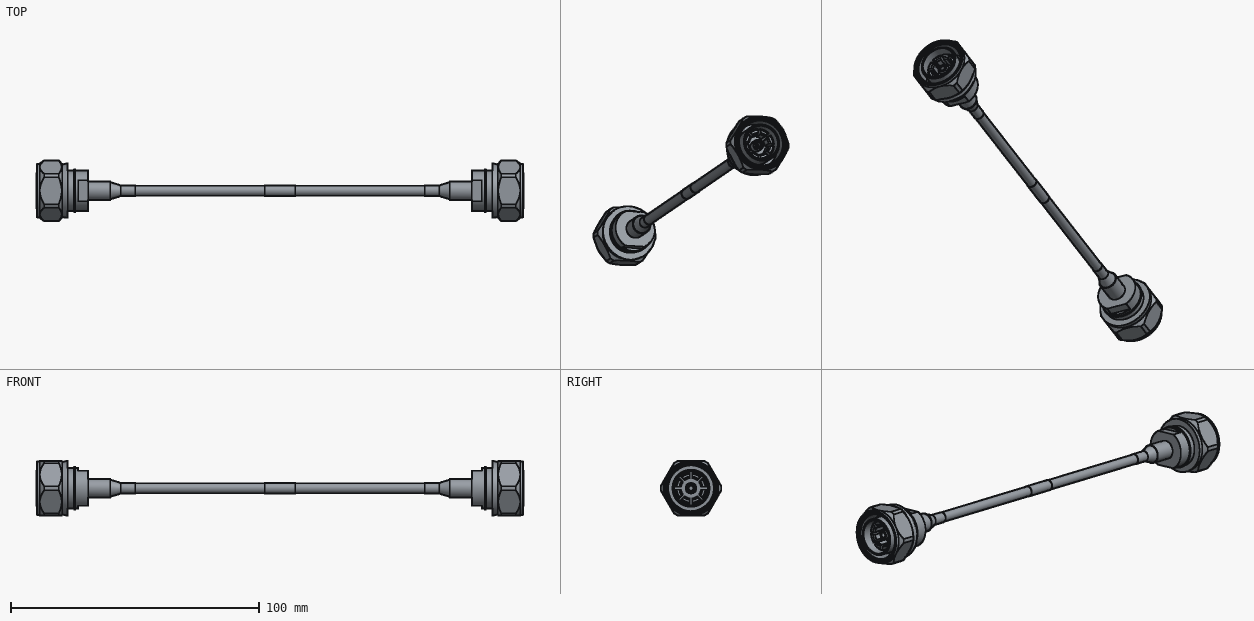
import cadquery as cq
import math


marker_half_length = 6.2
marker_radius = 2.15
cable_radius = 2.03

ferrule_end = 58.3
ferrule_step = 64.3
ferrule_taper_end = 64.9
ferrule_shoulder = 68.5
ferrule_tail_radius = marker_radius
taper_end_radius = 2.45
taper_start_radius = 3.5
ferrule_radius = 3.75

nut_front = 98.0
nut_back = 85.6
across_flats = 22.0
corner_radius = 12.25
collar_radius = across_flats / 2
front_collar_length = 1.2
front_hex_chamfer = 1.7
front_rim_radius = 10.75
back_collar_length = 0.55
neck_length = 1.55
neck_radius = 10.65
back_hex_chamfer = 1.5
bore_radius = 9.2
mouth_radius = 10.3
mouth_chamfer_length = 0.4
counterbore_radius = 9.8
counterbore_depth = 0.9
nut_floor_depth = 10.0

body_back = 77.4
shank_radius = 8.25
flat_half_height = 7.1
flat_start = 81.4
ring_back = 82.6
ring_crest = 82.9
ring_front = 83.2
ring_radius = 8.6
flange_length = 1.0
flange_radius = bore_radius

contact_tip = 98.3
tube_radius = 7.5
tube_tip_chamfer = 0.4
tube_wall = 0.7
tube_depth = 9.0
tube_mouth_chamfer = 0.2

collet_recess = 3.5
collet_radius = 6.4
collet_inner_radius = 4.1
collet_tip_chamfer = 0.6
slot_count = 8
slot_width = 1.1

pin_recess = 4.5
pin_radius = 2.15
pin_tip_chamfer = 0.6
pin_hole_radius = 1.0
pin_hole_depth = 3.0

nut_floor = nut_front - nut_floor_depth
flange_front = nut_floor + flange_length
tube_floor = contact_tip - tube_depth
tube_inner_radius = tube_radius - tube_wall


def revolved(profile):
    """Revolve (distance, radius) points about the X axis, at the -X end."""
    points = [(-distance, radius) for distance, radius in profile]
    return cq.Workplane("XY").polyline(points).close().revolve(360, (0, 0, 0), (1, 0, 0))


def rod(start, end, radius):
    """Cylinder on the X axis between two distances from the middle."""
    return revolved([(start, 0), (start, radius), (end, radius), (end, 0)])


def make_nut():
    hex_front = nut_front - front_collar_length
    neck_back = nut_back + back_collar_length
    neck_front = neck_back + neck_length

    hex_prism = (
        cq.Workplane("YZ", origin=(-hex_front, 0, 0))
        .polygon(6, across_flats / math.cos(math.pi / 6))
        .extrude(hex_front - neck_front)
    )
    turned_corners = revolved([
        (hex_front, 0),
        (hex_front, collar_radius),
        (hex_front - front_hex_chamfer, corner_radius),
        (neck_front + back_hex_chamfer, corner_radius),
        (neck_front, neck_radius),
        (neck_front, 0),
    ])
    front_collar = revolved([
        (nut_front, 0),
        (nut_front, front_rim_radius),
        (hex_front, collar_radius),
        (hex_front, 0),
    ])
    back_collar = revolved([
        (neck_front, 0),
        (neck_front, neck_radius),
        (neck_back, collar_radius),
        (nut_back, collar_radius),
        (nut_back, 0),
    ])
    outside = hex_prism.intersect(turned_corners).union(front_collar).union(back_collar)
    bore = revolved([
        (nut_front, 0),
        (nut_front, mouth_radius),
        (nut_front - mouth_chamfer_length, counterbore_radius),
        (nut_front - counterbore_depth, counterbore_radius),
        (nut_front - counterbore_depth, bore_radius),
        (nut_floor, bore_radius),
        (nut_floor, shank_radius),
        (nut_back, shank_radius),
        (nut_back, 0),
    ])
    return outside.cut(bore)


def make_shank():
    """Round shank with a ring, two flats at its back and a flange seated on the nut's floor."""
    shank = revolved([
        (body_back, 0),
        (body_back, shank_radius),
        (ring_back, shank_radius),
        (ring_back, ring_radius),
        (ring_crest, ring_radius),
        (ring_front, shank_radius),
        (nut_floor, shank_radius),
        (nut_floor, flange_radius),
        (flange_front, flange_radius),
        (flange_front, 0),
    ])
    flat_length = flat_start - body_back
    for side in (1, -1):
        flat_centre = side * (flat_half_height + shank_radius / 2)
        flat = (
            cq.Workplane("XY")
            .box(flat_length, 2 * shank_radius, shank_radius)
            .translate((-body_back - flat_length / 2, 0, flat_centre))
        )
        shank = shank.cut(flat)
    return shank


def make_tube_bore():
    return revolved([
        (contact_tip, 0),
        (contact_tip, tube_inner_radius + tube_mouth_chamfer),
        (contact_tip - tube_mouth_chamfer, tube_inner_radius),
        (tube_floor, tube_inner_radius),
        (tube_floor, 0),
    ])


def make_collet():
    """Ring of spring fingers, bevelled at the tip and parted by radial slots."""
    collet_tip = contact_tip - collet_recess
    collet = revolved([
        (flange_front, collet_inner_radius),
        (flange_front, collet_radius),
        (collet_tip - collet_tip_chamfer, collet_radius),
        (collet_tip, collet_radius - collet_tip_chamfer),
        (collet_tip, collet_inner_radius + collet_tip_chamfer),
        (collet_tip - collet_tip_chamfer, collet_inner_radius),
    ])
    for index in range(slot_count // 2):
        slot = (
            cq.Workplane("XY")
            .box(tube_depth, 2 * tube_radius, slot_width)
            .translate((-tube_floor - tube_depth / 2, 0, 0))
            .rotate((0, 0, 0), (1, 0, 0), index * 360 / slot_count)
        )
        collet = collet.cut(slot)
    return collet


def make_pin():
    pin_tip = contact_tip - pin_recess
    return revolved([
        (flange_front, 0),
        (flange_front, pin_radius),
        (pin_tip - pin_tip_chamfer, pin_radius),
        (pin_tip, pin_radius - pin_tip_chamfer),
        (pin_tip, pin_hole_radius),
        (pin_tip - pin_hole_depth, pin_hole_radius),
        (pin_tip - pin_hole_depth, 0),
    ])


def make_body():
    tube = rod(flange_front, contact_tip, tube_radius).faces("<X").chamfer(tube_tip_chamfer)
    shell = make_shank().union(tube).cut(make_tube_bore())
    return shell.union(make_collet()).union(make_pin())


def make_ferrule():
    return revolved([
        (body_back, 0),
        (body_back, ferrule_radius),
        (ferrule_shoulder, ferrule_radius),
        (ferrule_shoulder, taper_start_radius),
        (ferrule_taper_end, taper_end_radius),
        (ferrule_step, ferrule_tail_radius),
        (ferrule_end, ferrule_tail_radius),
        (ferrule_end, 0),
    ])


def make_cable_run():
    return rod(ferrule_end, marker_half_length, cable_radius)


marker = rod(marker_half_length, -marker_half_length, marker_radius)

bodies = [marker.val()]
for left_body in (make_cable_run(), make_ferrule(), make_body(), make_nut()):
    right_body = left_body.mirror("YZ")
    bodies.append(left_body.val())
    bodies.append(right_body.val())

result = cq.Compound.makeCompound(bodies)